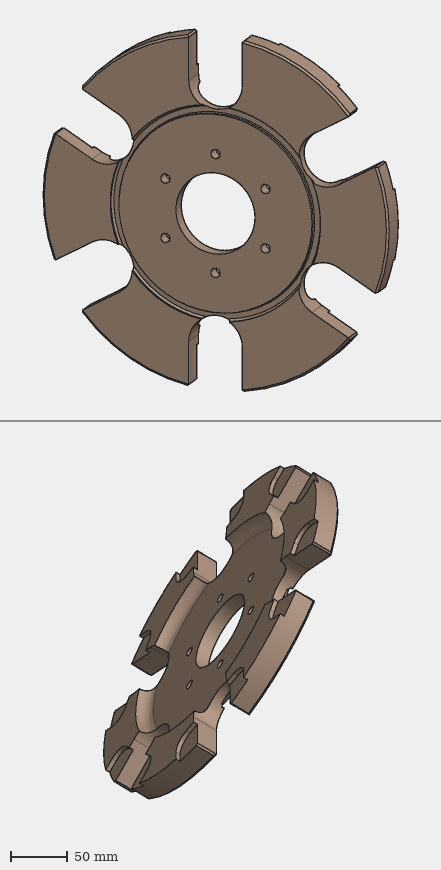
import cadquery as cq
import math

outer_radius = 164.5
thickness = 25.0
rim_chamfer = 2.0
bore_radius = 37.5

bolt_count = 6
bolt_circle_radius = 55.0
bolt_hole_radius = 4.3

slot_count = 6
slot_radius = 25.5
slot_center_radius = 121.0
slot_mouth_chamfer = 2.0

recess_half_width = 52.5
recess_inner_radius = 129.5
recess_corner_radius = 15.0
recess_depth = 4.3

pocket_radius = 115.0
pocket_depth = 11.2

groove_inner_radius = 92.0
groove_outer_radius = 100.0
groove_depth = 4.3
groove_inner_floor_chamfer = 1.0
groove_outer_floor_chamfer = 2.0


def revolve_about_axis(profile):
    """Turn a closed (radius, y) profile around the Y axis."""
    return profile.close().revolve(360, (0, 0, 0), (0, 1, 0))


def spread_angles(count):
    return [90 + 360 * i / count for i in range(count)]


def turned_about_axis(solid, angle):
    """Swing a solid built along +X to the given angle in the XZ plane (90 is +Z)."""
    return solid.rotate((0, 0, 0), (0, 1, 0), -angle)


def make_disc():
    profile = (
        cq.Workplane("XY")
        .moveTo(bore_radius, 0)
        .lineTo(outer_radius - rim_chamfer, 0)
        .lineTo(outer_radius, rim_chamfer)
        .lineTo(outer_radius, thickness)
        .lineTo(bore_radius, thickness)
    )
    return revolve_about_axis(profile)


def make_pocket():
    floor_y = thickness - pocket_depth
    profile = (
        cq.Workplane("XY")
        .moveTo(0, floor_y)
        .lineTo(pocket_radius - pocket_depth, floor_y)
        .radiusArc((pocket_radius, thickness), -pocket_depth)
        .lineTo(0, thickness)
    )
    return revolve_about_axis(profile)


def make_groove():
    profile = (
        cq.Workplane("XY")
        .moveTo(groove_inner_radius, 0)
        .lineTo(groove_inner_radius, groove_depth - groove_inner_floor_chamfer)
        .lineTo(groove_inner_radius + groove_inner_floor_chamfer, groove_depth)
        .lineTo(groove_outer_radius - groove_outer_floor_chamfer, groove_depth)
        .lineTo(groove_outer_radius, groove_depth - groove_outer_floor_chamfer)
        .lineTo(groove_outer_radius, 0)
    )
    return revolve_about_axis(profile)


def extrude_back(outline, start_y, depth):
    """Extrude a closed outline drawn on an XZ plane towards +Y."""
    return outline.extrude(-depth).translate((0, start_y, 0))


def make_slot():
    rim_x = math.sqrt(outer_radius**2 - slot_radius**2)
    mouth_x = rim_x - slot_mouth_chamfer
    flare_half_width = slot_radius + outer_radius - mouth_x
    outline = (
        cq.Workplane("XZ")
        .moveTo(slot_center_radius, slot_radius)
        .threePointArc((slot_center_radius - slot_radius, 0), (slot_center_radius, -slot_radius))
        .lineTo(mouth_x, -slot_radius)
        .lineTo(outer_radius, -flare_half_width)
        .lineTo(outer_radius, flare_half_width)
        .lineTo(mouth_x, slot_radius)
        .close()
    )
    return extrude_back(outline, 0, thickness)


def make_recess():
    length = outer_radius - recess_inner_radius
    middle_radius = recess_inner_radius + length / 2
    outline = cq.Workplane("XZ").center(middle_radius, 0).rect(length, 2 * recess_half_width)
    block = extrude_back(outline, thickness - recess_depth, recess_depth)
    return block.edges("|Y and <X").fillet(recess_corner_radius)


def make_bolt_hole():
    outline = cq.Workplane("XZ").center(bolt_circle_radius, 0).circle(bolt_hole_radius)
    return extrude_back(outline, 0, thickness)


result = make_disc().cut(make_pocket()).cut(make_groove())

for angle in spread_angles(slot_count):
    result = result.cut(turned_about_axis(make_slot(), angle))
    result = result.cut(turned_about_axis(make_recess(), angle))

for angle in spread_angles(bolt_count):
    result = result.cut(turned_about_axis(make_bolt_hole(), angle))